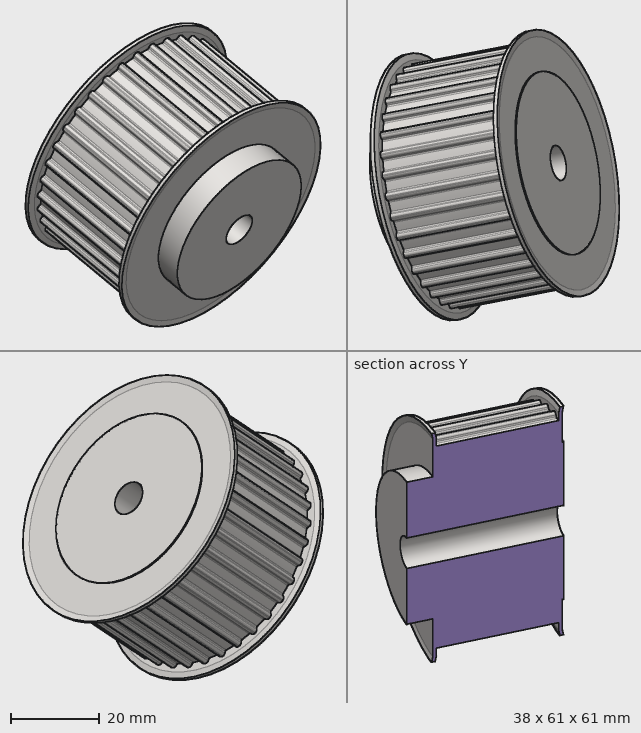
import cadquery as cq
import math

total_length = 38.0
flange_diameter = 61.0
bore_diameter = 8.0

tooth_count = 36
tip_radius = 28.05
tooth_depth = 1.1
root_radius = tip_radius - tooth_depth
flank_angle = math.radians(20)
tip_rounding = 0.75
root_rounding = 0.35
tip_land = 0.25

pulley_length = 32.0
sheet_thickness = 1.0
rim_offset = 0.3
bend_radius = 29.0

boss_diameter = 41.95
hub_diameter = 38.0


def point_around(centre, radius, angle):
    """Point on a circle, at an angle from the first axis."""
    return (centre[0] + radius * math.cos(angle), centre[1] + radius * math.sin(angle))


def tooth_point(half_profile_point, centre_angle, side):
    """Y, Z position of a half-tooth point (across, height), on side 1 or mirrored on side -1."""
    across = side * half_profile_point[0]
    height = half_profile_point[1]
    y = height * math.sin(centre_angle) + across * math.cos(centre_angle)
    z = height * math.cos(centre_angle) - across * math.sin(centre_angle)
    return (y, z)


def make_toothed_rim():
    """Straight-flanked teeth with rounded tips, running between the flanges."""
    tip_centre = (tip_land / 2, tip_radius - tip_rounding)
    flank_top = point_around(tip_centre, tip_rounding, flank_angle)
    tip_rounding_mid = point_around(tip_centre, tip_rounding, (flank_angle + math.pi / 2) / 2)
    tip_end = (tip_land / 2, tip_radius)

    centre_distance = root_radius + root_rounding
    shifted_across = flank_top[0] + root_rounding * math.cos(flank_angle)
    shifted_height = flank_top[1] + root_rounding * math.sin(flank_angle)
    flank_offset = shifted_across * math.cos(flank_angle) + shifted_height * math.sin(flank_angle)
    centre_polar_angle = flank_angle + math.acos(flank_offset / centre_distance)
    root_centre = (
        centre_distance * math.cos(centre_polar_angle),
        centre_distance * math.sin(centre_polar_angle),
    )
    flank_foot = point_around(root_centre, root_rounding, flank_angle + math.pi)
    root_end = point_around((0, 0), root_radius, centre_polar_angle)
    mid_foot_angle = (flank_angle + centre_polar_angle) / 2 + math.pi
    root_rounding_mid = point_around(root_centre, root_rounding, mid_foot_angle)

    pitch_angle = 2 * math.pi / tooth_count
    first_angle = pitch_angle / 2

    outline = cq.Workplane("YZ").moveTo(*tooth_point(root_end, first_angle, -1))
    for index in range(tooth_count):
        angle = first_angle + index * pitch_angle
        next_angle = angle + pitch_angle
        outline = (
            outline.threePointArc(
                tooth_point(root_rounding_mid, angle, -1), tooth_point(flank_foot, angle, -1)
            )
            .lineTo(*tooth_point(flank_top, angle, -1))
            .threePointArc(
                tooth_point(tip_rounding_mid, angle, -1), tooth_point(tip_end, angle, -1)
            )
            .lineTo(*tooth_point(tip_end, angle, 1))
            .threePointArc(
                tooth_point(tip_rounding_mid, angle, 1), tooth_point(flank_top, angle, 1)
            )
            .lineTo(*tooth_point(flank_foot, angle, 1))
            .threePointArc(
                tooth_point(root_rounding_mid, angle, 1), tooth_point(root_end, angle, 1)
            )
            .threePointArc(
                tooth_point((0, root_radius), angle + pitch_angle / 2, 1),
                tooth_point(root_end, next_angle, -1),
            )
        )
    inset = rim_offset + sheet_thickness / 2
    return outline.close().extrude(pulley_length - 2 * inset).translate((inset, 0, 0))


def make_flange():
    """Disc whose rim is bent towards -X, with the rim's outer edge at X = 0."""
    flange_radius = flange_diameter / 2
    section = [
        (rim_offset, 0),
        (rim_offset, bend_radius),
        (0, flange_radius),
        (sheet_thickness, flange_radius),
        (rim_offset + sheet_thickness, bend_radius),
        (rim_offset + sheet_thickness, 0),
    ]
    return cq.Workplane("XZ").polyline(section).close().revolve(360, (0, 0, 0), (1, 0, 0))


def make_cylinder(diameter, start, end):
    """Solid cylinder about the X axis between two X positions."""
    return cq.Workplane("YZ").workplane(offset=start).circle(diameter / 2).extrude(end - start)


first_flange = make_flange()
second_flange = first_flange.mirror("YZ").translate((pulley_length, 0, 0))
boss = make_cylinder(boss_diameter, 0, pulley_length / 2)
hub = make_cylinder(hub_diameter, pulley_length / 2, total_length)
bore = make_cylinder(bore_diameter, 0, total_length)

result = (
    make_toothed_rim()
    .union(first_flange)
    .union(second_flange)
    .union(boss)
    .union(hub)
    .cut(bore)
)